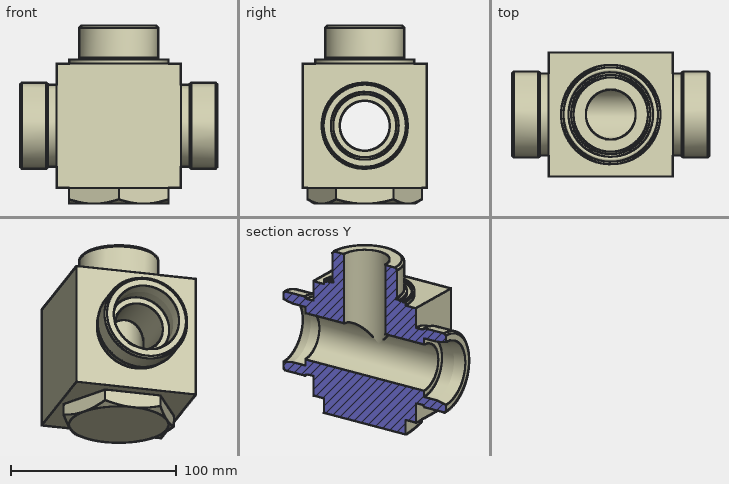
import cadquery as cq
import math

cube_side = 75.0
half_cube = cube_side / 2
bore_diameter = 30.0

port_span = 119.0
port_end = port_span / 2
port_thread_diameter = 52.0
port_neck_diameter = 49.55
port_neck_length = 5.0
port_chamfer = (port_thread_diameter - port_neck_diameter) / 2

socket_diameter = 38.0
socket_mouth_diameter = 41.0
socket_half_angle = 12.0
socket_depth = 16.0
cone_length = (socket_mouth_diameter - socket_diameter) / 2 / math.tan(math.radians(socket_half_angle))

flange_diameter = 60.0
flange_height = 2.5
stud_diameter = 47.8
stud_height = 20.5
stud_tip_chamfer = 1.5
stud_root_chamfer = 1.2

groove_inner_diameter = 51.0
groove_outer_diameter = 57.0
seal_radius = (groove_outer_diameter - groove_inner_diameter) / 4
seal_center_radius = (groove_outer_diameter + groove_inner_diameter) / 4

hex_across_flats = 60.0
hex_height = 9.5
hex_sides = 6
hex_chamfer_angle = 30.0

flange_top = half_cube + flange_height
stud_top = flange_top + stud_height
hex_bottom = -half_cube - hex_height


def make_port():
    """Solid tube port on +X with a neck and a chamfered thread."""
    neck_radius = port_neck_diameter / 2
    thread_radius = port_thread_diameter / 2
    thread_start = half_cube + port_neck_length
    profile = (
        cq.Workplane("XY")
        .moveTo(0, 0)
        .lineTo(0, neck_radius)
        .lineTo(thread_start, neck_radius)
        .lineTo(thread_start + port_chamfer, thread_radius)
        .lineTo(port_end - port_chamfer, thread_radius)
        .lineTo(port_end, thread_radius - port_chamfer)
        .lineTo(port_end, 0)
        .close()
    )
    return profile.revolve(360, (0, 0, 0), (1, 0, 0))


def make_socket():
    """Space inside a port on +X: a cone at the mouth, then a straight socket."""
    socket_radius = socket_diameter / 2
    profile = (
        cq.Workplane("XY")
        .moveTo(port_end - socket_depth, 0)
        .lineTo(port_end - socket_depth, socket_radius)
        .lineTo(port_end - cone_length, socket_radius)
        .lineTo(port_end, socket_mouth_diameter / 2)
        .lineTo(port_end, 0)
        .close()
    )
    return profile.revolve(360, (0, 0, 0), (1, 0, 0))


def make_stud():
    """Sealing flange and stud, chamfered at both ends of its thread."""
    stud_radius = stud_diameter / 2
    profile = (
        cq.Workplane("XZ")
        .moveTo(0, 0)
        .lineTo(flange_diameter / 2, 0)
        .lineTo(flange_diameter / 2, flange_top)
        .lineTo(stud_radius - stud_root_chamfer, flange_top)
        .lineTo(stud_radius, flange_top + stud_root_chamfer)
        .lineTo(stud_radius, stud_top - stud_tip_chamfer)
        .lineTo(stud_radius - stud_tip_chamfer, stud_top)
        .lineTo(0, stud_top)
        .close()
    )
    return profile.revolve(360, (0, 0, 0), (0, 1, 0))


def make_seal_gap():
    """Groove space left open above the rounded crown of the seal ring."""
    inner_radius = groove_inner_diameter / 2
    outer_radius = groove_outer_diameter / 2
    seal_middle = flange_top - seal_radius
    groove = (
        cq.Workplane("XY")
        .workplane(offset=seal_middle)
        .circle(outer_radius)
        .circle(inner_radius)
        .extrude(seal_radius)
    )
    seal = (
        cq.Workplane("XZ")
        .center(seal_center_radius, seal_middle)
        .circle(seal_radius)
        .revolve(360, (-seal_center_radius, 0, 0), (-seal_center_radius, 1, 0))
    )
    return groove.cut(seal)


def make_hex_head():
    """Hexagon with corners on the Y axis and a conical chamfer at its lower end."""
    corner_diameter = hex_across_flats / math.cos(math.pi / hex_sides)
    corner_radius = corner_diameter / 2
    flat_radius = hex_across_flats / 2
    chamfer_height = (corner_radius - flat_radius) * math.tan(math.radians(hex_chamfer_angle))
    hexagon = (
        cq.Workplane("XY")
        .workplane(offset=hex_bottom)
        .polygon(hex_sides, corner_diameter)
        .extrude(hex_height)
        .rotate((0, 0, 0), (0, 0, 1), 90)
    )
    chamfer_cone = (
        cq.Workplane("XZ")
        .moveTo(0, hex_bottom)
        .lineTo(flat_radius, hex_bottom)
        .lineTo(corner_radius, hex_bottom + chamfer_height)
        .lineTo(corner_radius, -half_cube)
        .lineTo(0, -half_cube)
        .close()
        .revolve(360, (0, 0, 0), (0, 1, 0))
    )
    return hexagon.intersect(chamfer_cone)


def on_both_sides(body):
    """Pair a body on +X with its mirror image on -X."""
    return body, body.mirror("YZ")


result = cq.Workplane("XY").box(cube_side, cube_side, cube_side)
result = result.union(make_stud()).union(make_hex_head())
for port in on_both_sides(make_port()):
    result = result.union(port)
for socket in on_both_sides(make_socket()):
    result = result.cut(socket)

bore_radius = bore_diameter / 2
cross_bore = cq.Workplane("YZ").circle(bore_radius).extrude(port_end, both=True)
stud_bore = cq.Workplane("XY").circle(bore_radius).extrude(stud_top)
result = result.cut(cross_bore).cut(stud_bore)
result = result.cut(make_seal_gap())